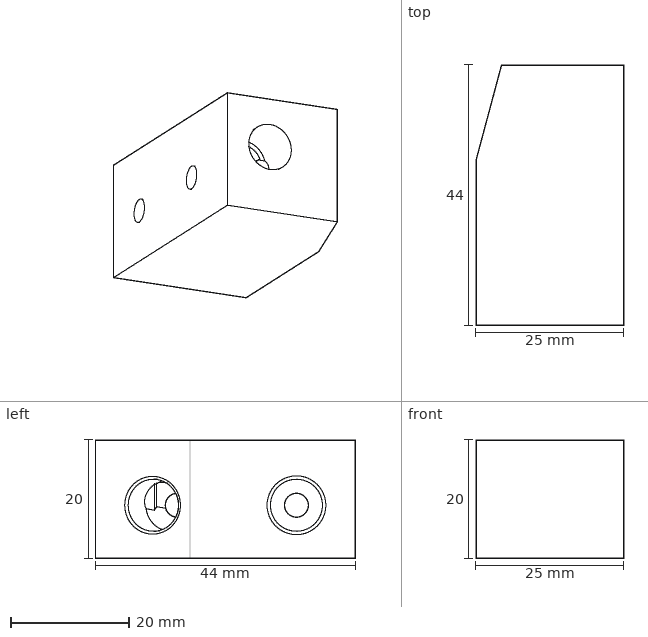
import cadquery as cq
import math

WIDTH = 25.0
LENGTH = 44.0
HEIGHT = 20.0

SLANT_ANGLE = 15.0
SLANT_LENGTH_Y = 16.0
SLANT_OFFSET_X = SLANT_LENGTH_Y * math.tan(math.radians(SLANT_ANGLE))

SOCKET_DIAMETER = 8.8
STRAIGHT_CHAMFER = 0.55
ANGLED_CHAMFER = 0.5
SOCKET_DEPTH = 12.0
DRILL_TIP_ANGLE = 118.0
THROUGH_DIAMETER = 4.0

SOCKET_Z = -1.0
STRAIGHT_SOCKET_Y = -LENGTH / 2 + 10.0
ANGLED_SOCKET_Y = LENGTH / 2 - 9.7
ANGLED_THROUGH_Y = 8.15

SIDE_HOLE_X = WIDTH / 2 - 8.0
SIDE_HOLE_Z = 1.5
SIDE_WIDE_DIAMETER = 8.0
SIDE_NARROW_DIAMETER = 6.8
SIDE_WIDE_DEPTH = 10.0
SIDE_HOLE_DEPTH = 15.4


def make_block():
    """Rectangular block with one corner cut to the slant angle."""
    left, right = -WIDTH / 2, WIDTH / 2
    front, back = -LENGTH / 2, LENGTH / 2
    outline = [
        (left, front),
        (right, front),
        (right, back),
        (left + SLANT_OFFSET_X, back),
        (left, back - SLANT_LENGTH_Y),
    ]
    return cq.Workplane("XY").polyline(outline).close().extrude(HEIGHT).translate((0, 0, -HEIGHT / 2))


def make_socket(x, y, chamfer, turn):
    """Socket entering at (x, y) along +X, turned about Z by the given angle."""
    radius = SOCKET_DIAMETER / 2
    tip_length = radius / math.tan(math.radians(DRILL_TIP_ANGLE / 2))
    profile = [
        (0, 0),
        (0, radius + chamfer),
        (chamfer, radius),
        (SOCKET_DEPTH, radius),
        (SOCKET_DEPTH + tip_length, 0),
    ]
    socket = cq.Workplane("XY").polyline(profile).close().revolve(360, (0, 0, 0), (1, 0, 0))
    return socket.rotate((0, 0, 0), (0, 0, 1), turn).translate((x, y, SOCKET_Z))


def make_through_hole(y, start_x):
    """Small hole along X from inside a socket out through the +X face."""
    return cq.Workplane("YZ", origin=(start_x, y, SOCKET_Z)).circle(THROUGH_DIAMETER / 2).extrude(WIDTH)


def make_side_hole():
    """Stepped hole along Y with a conical shoulder between its two diameters."""
    wide = SIDE_WIDE_DIAMETER / 2
    narrow = SIDE_NARROW_DIAMETER / 2
    shoulder_length = (wide - narrow) / math.tan(math.radians(DRILL_TIP_ANGLE / 2))
    profile = [
        (0, 0),
        (wide, 0),
        (wide, -SIDE_WIDE_DEPTH),
        (narrow, -SIDE_WIDE_DEPTH - shoulder_length),
        (narrow, -SIDE_HOLE_DEPTH),
        (0, -SIDE_HOLE_DEPTH),
    ]
    hole = cq.Workplane("XY").polyline(profile).close().revolve(360, (0, 0, 0), (0, 1, 0))
    return hole.translate((SIDE_HOLE_X, LENGTH / 2, SIDE_HOLE_Z))


slant_start_y = LENGTH / 2 - SLANT_LENGTH_Y
slant_entry_x = -WIDTH / 2 + (ANGLED_SOCKET_Y - slant_start_y) * math.tan(math.radians(SLANT_ANGLE))
through_start_x = -WIDTH / 2 + SOCKET_DEPTH

result = (
    make_block()
    .cut(make_socket(-WIDTH / 2, STRAIGHT_SOCKET_Y, STRAIGHT_CHAMFER, 0))
    .cut(make_socket(slant_entry_x, ANGLED_SOCKET_Y, ANGLED_CHAMFER, -SLANT_ANGLE))
    .cut(make_through_hole(STRAIGHT_SOCKET_Y, through_start_x))
    .cut(make_side_hole())
    .cut(make_through_hole(ANGLED_THROUGH_Y, through_start_x))
)